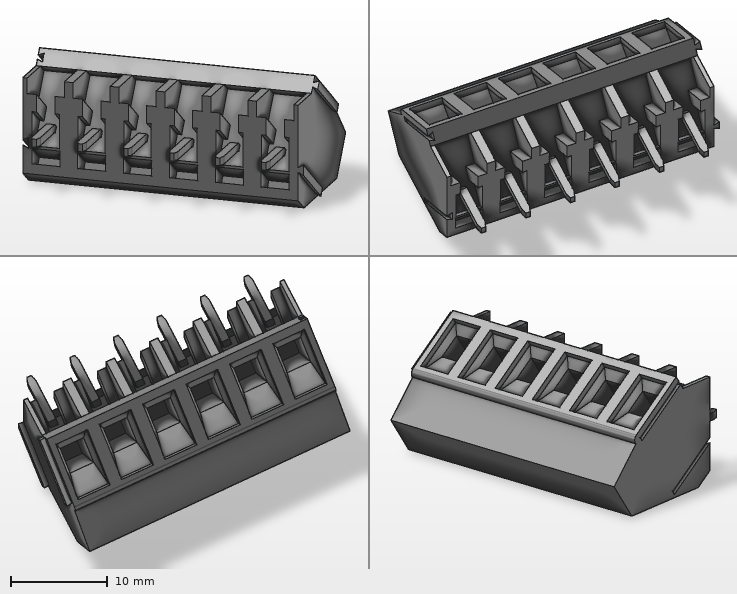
import cadquery as cq
import math


POLES = 6
PITCH = 5.0
LENGTH = POLES * PITCH
HEIGHT = 13.3
TILT = 35.0

APEX_Y = 5.45
STEP_HEIGHT = 1.97
NOSE_Y = 15.5
NOSE_Z = 4.1
FOOT_CHAMFER_Z = 1.33
ENTRY_FACE_LENGTH = 8.5
ENTRY_END_DROP = 0.75
ENTRY_END_RADIUS = 0.6

FUNNEL_START = 0.93
FUNNEL_END = 7.36
FUNNEL_WIDTH = 3.65
FUNNEL_RIM_DEPTH = 0.68
FUNNEL_DEPTH = 1.43
WIRE_HOLE_START = 1.96
WIRE_HOLE_END = 4.83
WIRE_HOLE_WIDTH = 2.7
WIRE_HOLE_DEPTH = 6.0

POCKET_BACK = 1.47
HEAD_WIDTH = 4.05
HEAD_FLOOR_Z = 10.0
STEM_WIDTH = 2.0
RELIEF_WIDTH = 2.95
RELIEF_TOP_Z = 8.1
RELIEF_FLOOR_Z = 4.4
WINDOW_WIDTH = 3.05
WINDOW_TOP_Z = 4.12
WINDOW_FLOOR_Z = 2.44
WINDOW_BACK = 3.8

PIN_WIDTH = 0.9
PIN_HEIGHT = 0.85
PIN_TOP_Z = 6.4
PIN_LENGTH = 3.8
PIN_BEND_Y = 1.62
PIN_ROOT_LENGTH = 2.0
PIN_TIP_LENGTH = 0.7
PIN_TIP_WIDTH = 0.5

RAIL_DEPTH = 0.6
RAIL_NECK = 0.47
RAIL_HEAD = 0.93
RAIL_END = 7.65
RAIL_DROPS = (1.02, 10.18)

COS = math.cos(math.radians(TILT))
SIN = math.sin(math.radians(TILT))
TAN = math.tan(math.radians(TILT))
OUTSIDE = 5.0


def tilted(along, drop):
    """(Y, Z) of a point in the tilted frame whose origin is the ridge."""
    y = APEX_Y + along * COS - drop * SIN
    z = HEIGHT - along * SIN - drop * COS
    return y, z


def drop_at_front(z):
    """Drop of the tilted line that meets the front face (Y = 0) at height z."""
    return APEX_Y * SIN + (HEIGHT - z) * COS


def prism(points, width, x_center):
    """Extrude a (Y, Z) polygon along X, centred on x_center."""
    start = x_center - width / 2
    return cq.Workplane("YZ", origin=(start, 0, 0)).polyline(points).close().extrude(width)


def tilted_block(along_range, drop_range, width, x_center):
    """Rectangular block aligned with the tilted frame."""
    a0, a1 = along_range
    d0, d1 = drop_range
    corners = [tilted(a0, d0), tilted(a1, d0), tilted(a1, d1), tilted(a0, d1)]
    return prism(corners, width, x_center)


def body_prism(start_x, end_x):
    """Full side outline extruded between two X positions."""
    step_foot = tilted(0, STEP_HEIGHT)
    round_start = tilted(ENTRY_FACE_LENGTH - ENTRY_END_RADIUS, 0)
    round_offset = ENTRY_END_RADIUS * (1 - math.sqrt(0.5))
    round_middle = tilted(ENTRY_FACE_LENGTH - round_offset, round_offset)
    round_end = tilted(ENTRY_FACE_LENGTH, ENTRY_END_RADIUS)
    outline = (
        cq.Workplane("YZ", origin=(start_x, 0, 0))
        .moveTo(0, FOOT_CHAMFER_Z)
        .lineTo(0, step_foot[1])
        .lineTo(*step_foot)
        .lineTo(APEX_Y, HEIGHT)
        .lineTo(*round_start)
        .threePointArc(round_middle, round_end)
        .lineTo(*tilted(ENTRY_FACE_LENGTH, ENTRY_END_DROP))
        .lineTo(NOSE_Y, NOSE_Z)
        .lineTo(NOSE_Y - NOSE_Z * TAN, 0)
        .lineTo(FOOT_CHAMFER_Z / TAN, 0)
        .close()
    )
    return outline.extrude(end_x - start_x)


def wire_entry(x):
    """Straight rim, then a funnel with tapered sides and floor, then the wire hole."""
    rim = tilted_block((FUNNEL_START, FUNNEL_END), (0, FUNNEL_RIM_DEPTH), FUNNEL_WIDTH, x)
    flare_depth = FUNNEL_DEPTH - FUNNEL_RIM_DEPTH
    side_inset = (FUNNEL_WIDTH - WIRE_HOLE_WIDTH) / 2
    flare_plane = cq.Plane(
        origin=(x, *tilted(0, FUNNEL_RIM_DEPTH)), xDir=(0, COS, -SIN), normal=(0, -SIN, -COS)
    )
    flare = (
        cq.Workplane(flare_plane)
        .center((FUNNEL_START + FUNNEL_END) / 2, 0)
        .rect(FUNNEL_END - FUNNEL_START + 2 * side_inset, FUNNEL_WIDTH)
        .extrude(flare_depth, taper=math.degrees(math.atan(side_inset / flare_depth)))
    )
    flare_outline = [
        tilted(FUNNEL_START, FUNNEL_RIM_DEPTH),
        tilted(FUNNEL_END, FUNNEL_RIM_DEPTH),
        tilted(WIRE_HOLE_END, FUNNEL_DEPTH),
        tilted(WIRE_HOLE_START, FUNNEL_DEPTH),
    ]
    flare = flare.intersect(prism(flare_outline, FUNNEL_WIDTH, x))
    hole_along = (WIRE_HOLE_START, WIRE_HOLE_END)
    hole = tilted_block(hole_along, (FUNNEL_RIM_DEPTH, WIRE_HOLE_DEPTH), WIRE_HOLE_WIDTH, x)
    return rim.union(flare).union(hole)


def front_pocket(x):
    """T-shaped driver opening, widened at its foot around the solder pin."""
    depth_range = (-2 * OUTSIDE, POCKET_BACK)
    head_floor = drop_at_front(HEAD_FLOOR_Z)
    relief_top = drop_at_front(RELIEF_TOP_Z)
    relief_floor = drop_at_front(RELIEF_FLOOR_Z)
    head = tilted_block(depth_range, (STEP_HEIGHT, head_floor), HEAD_WIDTH, x)
    stem = tilted_block(depth_range, (STEP_HEIGHT, relief_floor), STEM_WIDTH, x)
    relief = tilted_block(depth_range, (relief_top, relief_floor), RELIEF_WIDTH, x)
    return head.union(stem).union(relief)


def front_window(x):
    """Blind rectangular window below the pocket."""
    drop_range = (drop_at_front(WINDOW_TOP_Z), drop_at_front(WINDOW_FLOOR_Z))
    return tilted_block((-OUTSIDE, WINDOW_BACK), drop_range, WINDOW_WIDTH, x)


def solder_pin(x):
    """Straight pin with a narrowed tip and a root bent along the tilt."""
    root_y = PIN_BEND_Y + PIN_ROOT_LENGTH * COS
    root_top_z = PIN_TOP_Z - PIN_ROOT_LENGTH * SIN
    bottom_z = PIN_TOP_Z - PIN_HEIGHT
    side = [
        (-PIN_LENGTH, bottom_z),
        (-PIN_LENGTH, PIN_TOP_Z),
        (PIN_BEND_Y, PIN_TOP_Z),
        (root_y, root_top_z),
        (root_y, root_top_z - PIN_HEIGHT),
        (PIN_BEND_Y, bottom_z),
    ]
    taper_y = PIN_TIP_LENGTH - PIN_LENGTH
    plan = [
        (x - PIN_TIP_WIDTH / 2, -PIN_LENGTH),
        (x + PIN_TIP_WIDTH / 2, -PIN_LENGTH),
        (x + PIN_WIDTH / 2, taper_y),
        (x + PIN_WIDTH / 2, root_y),
        (x - PIN_WIDTH / 2, root_y),
        (x - PIN_WIDTH / 2, taper_y),
    ]
    return prism(side, PIN_WIDTH, x).intersect(
        cq.Workplane("XY").polyline(plan).close().extrude(HEIGHT)
    )


def dovetail(neck_x, drop):
    """Dovetail bar widening toward +X from neck_x, running along the tilt."""
    section_plane = cq.Plane(
        origin=(neck_x, *tilted(RAIL_END, drop)), xDir=(1, 0, 0), normal=(0, -COS, SIN)
    )
    section = [
        (0, -RAIL_NECK / 2),
        (RAIL_DEPTH, -RAIL_HEAD / 2),
        (RAIL_DEPTH, RAIL_HEAD / 2),
        (0, RAIL_NECK / 2),
    ]
    bar = cq.Workplane(section_plane).polyline(section).close().extrude(RAIL_END + OUTSIDE)
    return bar.intersect(body_prism(neck_x, neck_x + RAIL_DEPTH))


result = body_prism(0, LENGTH)
pole_positions = [PITCH * (pole + 0.5) for pole in range(POLES)]

for pole_x in pole_positions:
    result = result.cut(wire_entry(pole_x))
    result = result.cut(front_pocket(pole_x))
    result = result.cut(front_window(pole_x))

for pole_x in pole_positions:
    result = result.union(solder_pin(pole_x))

for rail_drop in RAIL_DROPS:
    result = result.cut(dovetail(0, rail_drop))
    result = result.union(dovetail(LENGTH, rail_drop))